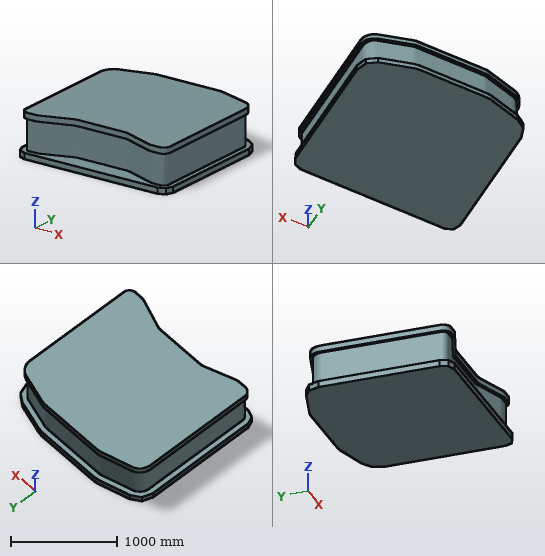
import cadquery as cq
import math

INCH = 25.4

base_width = 69 * INCH
base_depth = 63 * INCH
total_height = 18 * INCH
plate_thickness = 2.5 * INCH
base_overhang = 1.5 * INCH
lid_overhang = 1 * INCH

lid_half_width = base_width / 2 - base_overhang
lid_back = base_depth / 2 - base_overhang
lid_front = -lid_back
back_flat_half = 15 * INCH
back_slope = math.radians(16)
back_corner_drop = (lid_half_width - back_flat_half) * math.tan(back_slope)
notch_depth = 5 * INCH
notch_mouth_half = 25.75 * INCH
notch_floor_half = 11.6 * INCH
front_corner_radius = 3 * INCH
bend_radius = 6 * INCH

back_corners = [
    (back_flat_half, lid_back, bend_radius, 1),
    (lid_half_width, lid_back - back_corner_drop, bend_radius, 2),
]
front_corners = [(lid_half_width, lid_front, front_corner_radius, 2)]
notch_corners = [
    (notch_mouth_half, lid_front, bend_radius, 1),
    (notch_floor_half, lid_front + notch_depth, bend_radius, 1),
]


def mirrored(right_half):
    """Close a right-half corner list with its mirror image in X."""
    left_half = [(-x, y, radius, chords) for x, y, radius, chords in reversed(right_half)]
    return right_half + left_half


def rounding_points(corners, index):
    """Start, middle and end of the arc that rounds one corner."""
    x, y, radius, _ = corners[index]
    corner = cq.Vector(x, y)
    before = cq.Vector(*corners[index - 1][:2])
    after = cq.Vector(*corners[(index + 1) % len(corners)][:2])
    to_before = (before - corner).normalized()
    to_after = (after - corner).normalized()
    half_angle = to_before.getAngle(to_after) / 2
    tangent_length = radius / math.tan(half_angle)
    middle_distance = radius / math.sin(half_angle) - radius
    bisector = (to_before + to_after).normalized()
    start = corner + to_before * tangent_length
    middle = corner + bisector * middle_distance
    end = corner + to_after * tangent_length
    return start, middle, end


def rounded_outline(corners, height):
    """Closed outline at the given height with every corner rounded by an arc."""
    first_start = rounding_points(corners, 0)[0]
    outline = cq.Workplane("XY", origin=(0, 0, height)).moveTo(first_start.x, first_start.y)
    for index in range(len(corners)):
        start, middle, end = rounding_points(corners, index)
        if index > 0:
            outline = outline.lineTo(start.x, start.y)
        outline = outline.threePointArc((middle.x, middle.y), (end.x, end.y))
    return outline.close()


def chorded_outline(corners, height):
    """Closed outline at the given height with corners cut by straight chords."""
    points = []
    for index, corner in enumerate(corners):
        start, middle, end = rounding_points(corners, index)
        two_chords = corner[3] == 2
        corner_points = [start, middle, end] if two_chords else [start, end]
        points += [(point.x, point.y) for point in corner_points]
    return cq.Workplane("XY", origin=(0, 0, height)).polyline(points).close()


def make_base():
    """Flat plate with faceted corners and a straight front edge."""
    corners = mirrored(back_corners + front_corners)
    outline = chorded_outline(corners, 0)
    return outline.offset2D(base_overhang, "intersection").extrude(plate_thickness)


def make_body():
    """Block between the plates, set in from the lid edge all round."""
    corners = mirrored(back_corners + front_corners + notch_corners)
    outline = rounded_outline(corners, plate_thickness)
    body_height = total_height - 2 * plate_thickness
    return outline.offset2D(-lid_overhang).extrude(body_height)


def make_lid():
    """Rounded top plate with the wide notch in its front edge."""
    corners = mirrored(back_corners + front_corners + notch_corners)
    outline = rounded_outline(corners, total_height - plate_thickness)
    return outline.extrude(plate_thickness)


result = make_base().union(make_body()).union(make_lid())